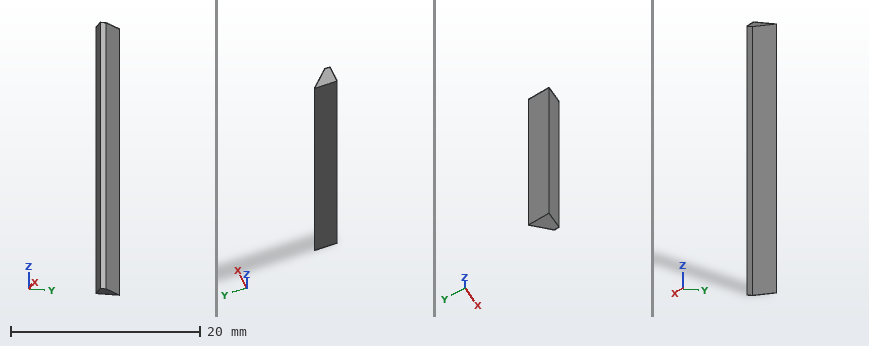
import cadquery as cq

width = 2.0
depth = 2.6
height = 29.3

short_wall = 0.62

left, right = -width / 2, width / 2
front, back = -depth / 2, depth / 2

profile = [
    (left, front),
    (right, front),
    (right, front + short_wall),
    (left, back),
]

result = (
    cq.Workplane("XY")
    .workplane(offset=-height / 2)
    .polyline(profile)
    .close()
    .extrude(height)
)